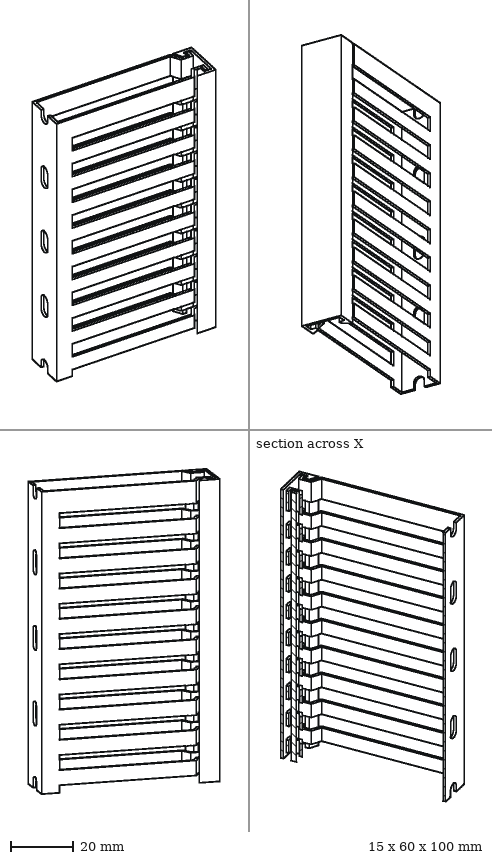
import cadquery as cq
import math

WIDTH = 15.0
DEPTH = 60.0
LENGTH = 100.0

WALL = 1.0
SHOULDER_Y = 52.0
NECK_Y = 54.0
NECK_HALF_WIDTH = 4.1
LIP_HALF_WIDTH = 6.1
LIP_TOP_Y = 58.0

COVER_TOP_WALL = 1.0
COVER_SIDE_WALL = 1.2
COVER_EDGE_Y = 53.0
HOOK_TOP_Y = 56.3
HOOK_HALF_WIDTH = 4.4

FINGER_PITCH = 10.0
FINGER_SLOT_WIDTH = 5.0
FINGER_SLOT_START_Y = 6.0
FINGER_SLOT_COUNT = 10

MOUNT_PITCH = 25.0
MOUNT_SLOT_LENGTH = 8.0
MOUNT_SLOT_WIDTH = 4.0
MOUNT_SLOT_COUNT = 5

HALF_WIDTH = WIDTH / 2
SHOULDER_ANGLE = math.atan2(NECK_Y - SHOULDER_Y, HALF_WIDTH - NECK_HALF_WIDTH)


def symmetric_extrusion(right_half):
    """Mirror a half outline about X = 0 and extrude it along the whole length."""
    left_half = [(-x, y) for x, y in reversed(right_half)]
    return cq.Workplane("XY").polyline(right_half + left_half).close().extrude(LENGTH)


def duct_profile():
    """Channel with sloped shoulders, a narrow neck and outward lips."""
    inner_half = HALF_WIDTH - WALL
    neck_inner = NECK_HALF_WIDTH - WALL
    corner_drop = WALL * math.tan((math.pi / 2 - SHOULDER_ANGLE) / 2)
    return symmetric_extrusion([
        (HALF_WIDTH, 0),
        (HALF_WIDTH, SHOULDER_Y),
        (NECK_HALF_WIDTH, NECK_Y),
        (NECK_HALF_WIDTH, LIP_TOP_Y - WALL),
        (LIP_HALF_WIDTH, LIP_TOP_Y - WALL),
        (LIP_HALF_WIDTH, LIP_TOP_Y),
        (neck_inner, LIP_TOP_Y),
        (neck_inner, NECK_Y - corner_drop),
        (inner_half, SHOULDER_Y - corner_drop),
        (inner_half, WALL),
    ])


def finger_slots():
    """Slots through both sides, open at the lips; the first is cut off by the end of the duct."""
    slots = cq.Workplane("XY")
    for index in range(FINGER_SLOT_COUNT):
        slots = slots.union(
            cq.Workplane("XY")
            .box(WIDTH, DEPTH - FINGER_SLOT_START_Y, FINGER_SLOT_WIDTH, centered=(True, False, True))
            .translate((0, FINGER_SLOT_START_Y, index * FINGER_PITCH))
        )
    return slots


def mount_slots():
    """Round-ended slots through the base wall; the end ones are open halves."""
    centers = [(0, index * MOUNT_PITCH) for index in range(MOUNT_SLOT_COUNT)]
    return (
        cq.Workplane("XZ")
        .pushPoints(centers)
        .slot2D(MOUNT_SLOT_LENGTH, MOUNT_SLOT_WIDTH, 90)
        .extrude(-WALL)
    )


def make_duct():
    return duct_profile().cut(finger_slots()).cut(mount_slots())


def make_cover():
    """Snap-on cover whose sides end in hooks that catch under the duct lips."""
    inner_half = HALF_WIDTH - COVER_SIDE_WALL
    hook_tip_y = COVER_EDGE_Y + (HALF_WIDTH - HOOK_HALF_WIDTH) * math.tan(SHOULDER_ANGLE)
    return symmetric_extrusion([
        (HALF_WIDTH, DEPTH),
        (HALF_WIDTH, COVER_EDGE_Y),
        (HOOK_HALF_WIDTH, hook_tip_y),
        (HOOK_HALF_WIDTH, HOOK_TOP_Y),
        (inner_half, HOOK_TOP_Y),
        (inner_half, DEPTH - COVER_TOP_WALL),
    ])


duct = make_duct()
cover = make_cover()

result = cq.Compound.makeCompound([duct.val(), cover.val()])